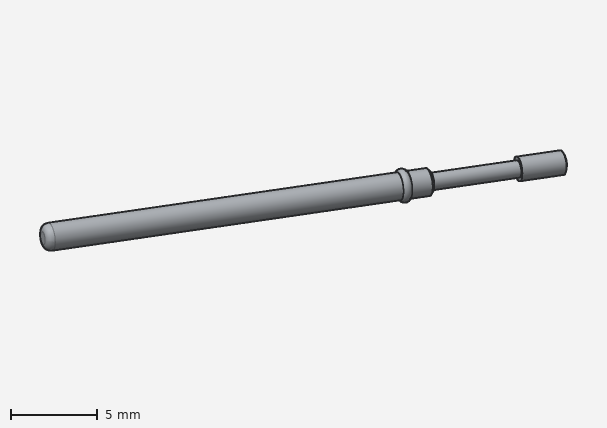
import cadquery as cq
import math

length = 32.3
rear_y = -length / 2
tip_y = length / 2

barrel_radius = 0.825
rear_rounding = 0.45
mouth_from_tip = 8.33
mouth_chamfer_length = 0.2
mouth_radius = 0.6
mouth_y = tip_y - mouth_from_tip

ring_radius = 1.0
ring_width = 0.55
ring_y = tip_y - 10.05

rod_radius = 0.52
head_radius = 0.727
head_length = 2.95
dome_height = 0.23
head_y = tip_y - head_length
dome_y = tip_y - dome_height

rear_arc_centre_radius = barrel_radius - rear_rounding
rear_arc_centre_y = rear_y + rear_rounding
rear_arc_offset = rear_rounding * math.sqrt(0.5)
rear_arc_middle = (rear_arc_centre_radius + rear_arc_offset, rear_arc_centre_y - rear_arc_offset)

dome_sphere_radius = (head_radius**2 + dome_height**2) / (2 * dome_height)
dome_middle_radius = head_radius / 2
dome_middle_y = tip_y - dome_sphere_radius + math.sqrt(dome_sphere_radius**2 - dome_middle_radius**2)

profile = (
    cq.Workplane("XY")
    .moveTo(0, rear_y)
    .lineTo(rear_arc_centre_radius, rear_y)
    .threePointArc(rear_arc_middle, (barrel_radius, rear_arc_centre_y))
    .lineTo(barrel_radius, ring_y - ring_width / 2)
    .threePointArc((ring_radius, ring_y), (barrel_radius, ring_y + ring_width / 2))
    .lineTo(barrel_radius, mouth_y - mouth_chamfer_length)
    .lineTo(mouth_radius, mouth_y)
    .lineTo(rod_radius, mouth_y)
    .lineTo(rod_radius, head_y)
    .lineTo(head_radius, head_y)
    .lineTo(head_radius, dome_y)
    .threePointArc((dome_middle_radius, dome_middle_y), (0, tip_y))
    .close()
)

result = profile.revolve(360, (0, 0, 0), (0, 1, 0))